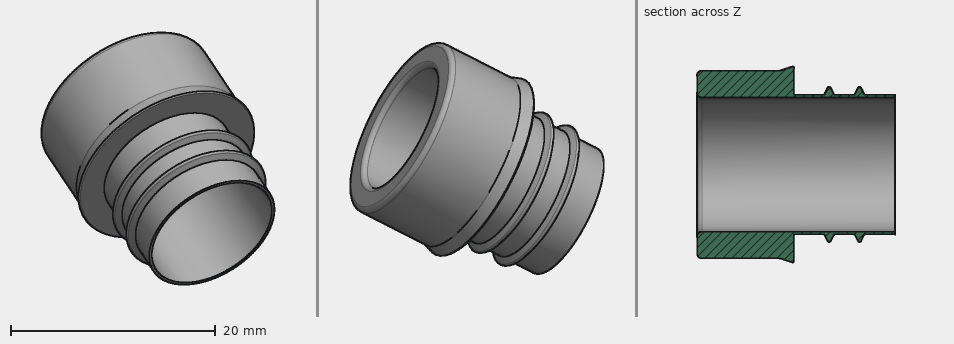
import cadquery as cq
import math

length = 19.4
collar_length = 9.5
flare_start = 8.1
flare_rim_width = 0.14
rib_centers = (12.94, 15.9)

bore_diameter = 13.1
spigot_diameter = 13.7
collar_diameter = 18.4
flare_diameter = 19.2
rib_diameter = 15.2

rib_tip_radius = 0.2
rib_flank_angle = math.radians(26)
edge_radius = 0.5

x_start = -length / 2


def cylinder(diameter, start, end):
    """Solid cylinder about X, with start and end measured from the collar face."""
    return (
        cq.Workplane("YZ", origin=(x_start + start, 0, 0))
        .circle(diameter / 2)
        .extrude(end - start)
    )


def revolve_about_x(profile):
    return profile.close().revolve(360, (0, 0, 0), (1, 0, 0))


def make_collar():
    collar = cylinder(collar_diameter, 0, collar_length)
    return collar.faces("<X").edges().fillet(edge_radius)


def make_flare():
    rim_end = x_start + collar_length
    rim_radius = flare_diameter / 2
    profile = (
        cq.Workplane("XY")
        .moveTo(x_start + flare_start, 0)
        .lineTo(x_start + flare_start, collar_diameter / 2)
        .lineTo(rim_end - flare_rim_width, rim_radius)
        .radiusArc((rim_end, rim_radius - flare_rim_width), flare_rim_width)
        .lineTo(rim_end, 0)
    )
    return revolve_about_x(profile)


def make_rib(center):
    """Ring with sloping flanks and a tangent rounded tip."""
    x = x_start + center
    base = spigot_diameter / 2
    tip = rib_diameter / 2
    shoulder = tip - rib_tip_radius * (1 - math.sin(rib_flank_angle))
    half_tip = rib_tip_radius * math.cos(rib_flank_angle)
    half_base = half_tip + (shoulder - base) * math.tan(rib_flank_angle)
    profile = (
        cq.Workplane("XY")
        .moveTo(x - half_base, 0)
        .lineTo(x - half_base, base)
        .lineTo(x - half_tip, shoulder)
        .threePointArc((x, tip), (x + half_tip, shoulder))
        .lineTo(x + half_base, base)
        .lineTo(x + half_base, 0)
    )
    return revolve_about_x(profile)


result = make_collar().union(make_flare()).union(cylinder(spigot_diameter, collar_length, length))
for rib_center in rib_centers:
    result = result.union(make_rib(rib_center))

result = result.cut(cylinder(bore_diameter, 0, length))
bore_mouth = cq.selectors.RadiusNthSelector(0)
result = result.faces("<X").edges(bore_mouth).fillet(edge_radius)